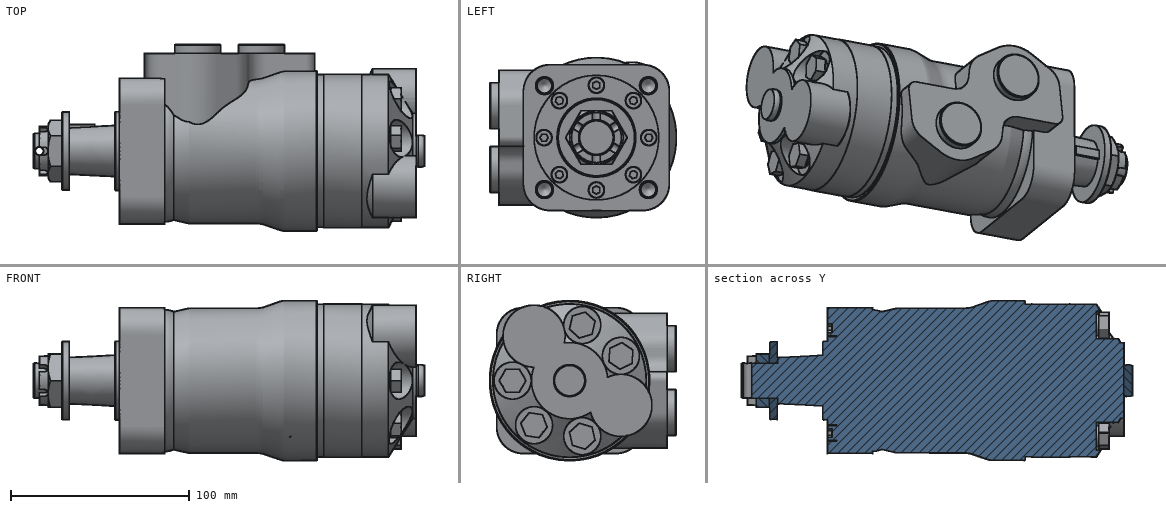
import cadquery as cq
import math


shaft_tip_x = -48.2
castle_face_x = -44.9
hex_face_x = -40.0
washer_front_x = -32.4
washer_rear_x = -28.0
taper_end_x = -3.9
flange_depth = 25.4
neck_x = 30.5
barrel_start_x = 39.1
barrel_end_x = 76.8
flare_start_x = 80.7
flare_end_x = 90.0
collar_start_x = 92.6
collar_end_x = 111.2
rotor_start_x = 114.9
rotor_end_x = 136.2
cap_end_x = 151.1
hub_step_x = 164.7
rear_face_x = 166.7
drain_plug_end_x = 171.38

flange_side = 82.0
flange_corner_radius = 15.0
neck_root_radius = 39.9
neck_radius = 38.8
barrel_radius = 40.75
flare_start_radius = 41.2
flare_end_radius = 44.4
collar_radius = 45.0
collar_chamfer = 0.5
cap_radius = 43.0
rotor_radius = 43.15
hub_radius = 21.4
cover_diameter = 70.0
cover_recess = 0.1
seal_ring_diameter = 44.4
seal_ring_length = 2.6
edge_chamfer = 0.6

mount_circle = 82.5
mount_hole_diameter = 8.38
mount_countersink = 10.0
mount_hole_depth = 18.0
drill_point_angle = 118.0
screw_count = 8
screw_circle = 58.8
screw_head_diameter = 8.5
screw_bore_diameter = 9.0
screw_bore_depth = 5.0
screw_socket_across_flats = 4.0
screw_socket_depth = 2.5

port_face_y = 54.8
port_plug_end_y = 60.0
block_center_x = 61.9
port_offset = 17.9
port_x = block_center_x - port_offset
ridge_radius = 20.0
ridge_slope = math.radians(31)
wall_draft = math.tan(math.radians(6))
shoulder_offset = 27.4
shoulder_radius = 13.0
step_z = 4.9
step_fillet = 9.7
tail_radius = 4.8

bolt_places = 7
bolt_pitch = 360 / bolt_places
bolt_circle_radius = 32.0
boss_places = (1, 4)
boss_radius = 17.45
boss_start_x = 142.2
boss_cone_depth = 8.6
scallop_radius = 10.4
bolt_across_flats = 13.0
bolt_head_start_x = 152.5
bolt_head_end_x = 158.2
bolt_collar_diameter = 11.9
bolt_collar_root = 1.0

thread_diameter = 20.0
taper_large_radius = 14.35
taper_rate = 1 / 20
key_width = 5.0
key_top_y = 15.0
key_end_x = -13.7
cotter_diameter = 4.5
nut_across_flats = 30.0
nut_bevel_angle = 30
castle_diameter = 28.0
castle_slot_count = 6
castle_slot_width = 4.5
washer_diameter = 44.0

port_plug_diameter = 26.0
drain_plug_diameter = 18.0
drain_plug_end_diameter = 17.0
drain_plug_front_bevel = 1.2
drain_plug_rear_bevel = 1.7


def rod(diameter, start_x, end_x):
    """Cylinder on the X axis."""
    return cq.Workplane("YZ", origin=(start_x, 0, 0)).circle(diameter / 2).extrude(end_x - start_x)


def hexagon(across_flats, start_x, end_x):
    """Hexagonal bar on the X axis with two of its corners on the Y direction."""
    across_corners = across_flats / math.cos(math.radians(30))
    return cq.Workplane("YZ", origin=(start_x, 0, 0)).polygon(6, across_corners).extrude(end_x - start_x)


def around_axis(shape, radius, angle):
    """Move a shape out to the radius and turn it about X; 0 degrees is +Y and 90 degrees is +Z."""
    return shape.translate((0, radius, 0)).rotate((0, 0, 0), (1, 0, 0), angle)


def bolt_angle(place):
    return 180 - place * bolt_pitch


def turned_body():
    """Barrel, flared collar, rotor ring, end cap and rear hub as one turned shape."""
    return (
        cq.Workplane("XY")
        .moveTo(0, 0)
        .lineTo(0, neck_root_radius)
        .lineTo(flange_depth, neck_root_radius)
        .tangentArcPoint((neck_x, neck_radius), relative=False)
        .lineTo(barrel_start_x, barrel_radius)
        .lineTo(barrel_end_x, barrel_radius)
        .tangentArcPoint((flare_start_x, flare_start_radius), relative=False)
        .lineTo(flare_end_x, flare_end_radius)
        .tangentArcPoint((collar_start_x, collar_radius), relative=False)
        .lineTo(collar_end_x - collar_chamfer, collar_radius)
        .lineTo(collar_end_x, collar_radius - collar_chamfer)
        .lineTo(collar_end_x, cap_radius)
        .lineTo(rotor_start_x, cap_radius)
        .lineTo(rotor_start_x, rotor_radius)
        .lineTo(rotor_end_x, rotor_radius)
        .lineTo(rotor_end_x, cap_radius)
        .lineTo(cap_end_x, cap_radius)
        .lineTo(hub_step_x, hub_radius)
        .lineTo(rear_face_x, hub_radius)
        .lineTo(rear_face_x, 0)
        .close()
        .revolve(360, (0, 0, 0), (1, 0, 0))
    )


def flange():
    plate = cq.Workplane("YZ").rect(flange_side, flange_side).extrude(flange_depth)
    return plate.edges("|X").fillet(flange_corner_radius)


def port_block():
    apex_z = port_offset + ridge_radius / math.cos(ridge_slope)
    shoulder_z = apex_z - shoulder_offset * math.tan(ridge_slope)
    step_x = port_x + shoulder_offset + wall_draft * (shoulder_z - step_z)
    tail_x = 2 * block_center_x - (port_x - shoulder_offset - wall_draft * (shoulder_z + step_z))
    half = [
        (port_x - shoulder_offset, shoulder_z, shoulder_radius),
        (port_x, apex_z, ridge_radius),
        (port_x + shoulder_offset, shoulder_z, shoulder_radius),
        (step_x, step_z, step_fillet),
        (tail_x, step_z, tail_radius),
    ]
    corners = half + [(2 * block_center_x - x, -z, radius) for x, z, radius in half]
    outline = [(x, z) for x, z, radius in corners]
    block = cq.Workplane("XZ").polyline(outline).close().extrude(-port_face_y)
    for x, z, radius in corners:
        corner_edge = cq.NearestToPointSelector((x, port_face_y / 2, z))
        block = block.edges("|Y").edges(corner_edge).fillet(radius)
    return block


def valve_boss():
    """Cylinder parallel to X whose front end is a flat cone."""
    return (
        cq.Workplane("XY")
        .moveTo(boss_start_x - boss_cone_depth, 0)
        .lineTo(boss_start_x, boss_radius)
        .lineTo(rear_face_x, boss_radius)
        .lineTo(rear_face_x, 0)
        .close()
        .revolve(360, (0, 0, 0), (1, 0, 0))
    )


def cap_bolt():
    """Hexagon head on a round collar, rooted in the end cap."""
    collar = rod(bolt_collar_diameter, cap_end_x - bolt_collar_root, bolt_head_start_x)
    return collar.union(hexagon(bolt_across_flats, bolt_head_start_x, bolt_head_end_x))


def mount_hole():
    """Blind hole with a drill point and a small countersink."""
    hole_radius = mount_hole_diameter / 2
    mouth_radius = mount_countersink / 2
    point_depth = hole_radius / math.tan(math.radians(drill_point_angle / 2))
    return (
        cq.Workplane("XY")
        .moveTo(0, 0)
        .lineTo(0, mouth_radius)
        .lineTo(mouth_radius - hole_radius, hole_radius)
        .lineTo(mount_hole_depth, hole_radius)
        .lineTo(mount_hole_depth + point_depth, 0)
        .close()
        .revolve(360, (0, 0, 0), (1, 0, 0))
    )


def cover_screw_cut():
    """Gap around a flush screw head, and the hexagon socket in the head."""
    gap = rod(screw_bore_diameter, 0, screw_bore_depth).cut(rod(screw_head_diameter, 0, screw_bore_depth))
    return gap.union(hexagon(screw_socket_across_flats, 0, screw_socket_depth))


def shaft():
    taper_small_radius = taper_large_radius - taper_rate * (taper_end_x - washer_rear_x)
    stem = (
        cq.Workplane("XY")
        .moveTo(shaft_tip_x, 0)
        .lineTo(shaft_tip_x, thread_diameter / 2 - edge_chamfer)
        .lineTo(shaft_tip_x + edge_chamfer, thread_diameter / 2)
        .lineTo(washer_rear_x, thread_diameter / 2)
        .lineTo(washer_rear_x, taper_small_radius)
        .lineTo(taper_end_x, taper_large_radius)
        .lineTo(0, taper_large_radius)
        .lineTo(0, 0)
        .close()
        .revolve(360, (0, 0, 0), (1, 0, 0))
    )
    key_length = key_end_x - washer_rear_x
    key = cq.Workplane("XY").box(key_length, key_top_y, key_width, centered=(False, False, True))
    return stem.union(key.translate((washer_rear_x, 0, 0))).cut(cotter_hole())


def cotter_hole():
    """Hole along Z, half in the shaft tip and half in the castle of the nut."""
    hole = cq.Workplane("XY").circle(cotter_diameter / 2).extrude(castle_diameter, both=True)
    return hole.translate((castle_face_x, 0, 0))


def motor_body():
    body = turned_body().union(flange()).union(port_block())

    bolt_numbers = [place for place in range(bolt_places) if place not in boss_places]
    scallop = rod(2 * scallop_radius, cap_end_x, rear_face_x)
    for place in boss_places:
        body = body.union(around_axis(valve_boss(), bolt_circle_radius, bolt_angle(place)))
    for place in bolt_numbers:
        body = body.cut(around_axis(scallop, bolt_circle_radius, bolt_angle(place)))
    for place in bolt_numbers:
        body = body.union(around_axis(cap_bolt(), bolt_circle_radius, bolt_angle(place)))

    body = body.cut(rod(cover_diameter, 0, cover_recess))
    for number in range(screw_count):
        cut = cover_screw_cut().translate((cover_recess, 0, 0))
        body = body.cut(around_axis(cut, screw_circle / 2, number * 360 / screw_count))
    for angle in (45, 135, 225, 315):
        body = body.cut(around_axis(mount_hole(), mount_circle / 2, angle))

    seal_ring = rod(seal_ring_diameter, -seal_ring_length, cover_recess).faces("<X").chamfer(edge_chamfer)
    return body.union(seal_ring).union(shaft())


def castle_nut():
    across_corners = nut_across_flats / math.cos(math.radians(30))
    bevel_width = (across_corners - nut_across_flats) / 2
    bevel_depth = bevel_width * math.tan(math.radians(nut_bevel_angle))
    bevelled_rod = rod(across_corners, hex_face_x, washer_front_x)
    bevelled_rod = bevelled_rod.faces("<X").chamfer(bevel_depth, bevel_width)
    nut = hexagon(nut_across_flats, hex_face_x, washer_front_x).intersect(bevelled_rod)
    nut = nut.union(rod(castle_diameter, castle_face_x, hex_face_x))
    slot_radius = castle_slot_width / 2
    slot_round_x = hex_face_x - slot_radius
    slot = cq.Workplane("XY").center(slot_round_x, 0).circle(slot_radius).extrude(castle_diameter)
    slot_mouth = (
        cq.Workplane("XY")
        .center(castle_face_x, 0)
        .rect(2 * (slot_round_x - castle_face_x), castle_slot_width)
        .extrude(castle_diameter)
    )
    slot = slot.union(slot_mouth)
    for number in range(castle_slot_count):
        nut = nut.cut(slot.rotate((0, 0, 0), (1, 0, 0), number * 360 / castle_slot_count))
    return nut.cut(rod(thread_diameter, castle_face_x, washer_front_x))


def washer():
    disc = rod(washer_diameter, washer_front_x, washer_rear_x).faces("<X").chamfer(edge_chamfer)
    return disc.cut(rod(thread_diameter, washer_front_x, washer_rear_x))


def port_plug(x, z):
    disc = (
        cq.Workplane("XZ", origin=(x, port_face_y, z))
        .circle(port_plug_diameter / 2)
        .extrude(port_face_y - port_plug_end_y)
    )
    return disc.faces(">Y").chamfer(edge_chamfer)


def drain_plug():
    bevel = (drain_plug_diameter - drain_plug_end_diameter) / 2
    disc = rod(drain_plug_diameter, rear_face_x, drain_plug_end_x)
    disc = disc.faces("<X").chamfer(drain_plug_front_bevel, bevel)
    return disc.faces(">X").chamfer(drain_plug_rear_bevel, bevel)


port_plugs = [port_plug(block_center_x - side * port_offset, side * port_offset) for side in (1, -1)]

result = cq.Compound.makeCompound(
    [
        motor_body().val(),
        castle_nut().val(),
        washer().val(),
        *[plug.val() for plug in port_plugs],
        drain_plug().val(),
    ]
)